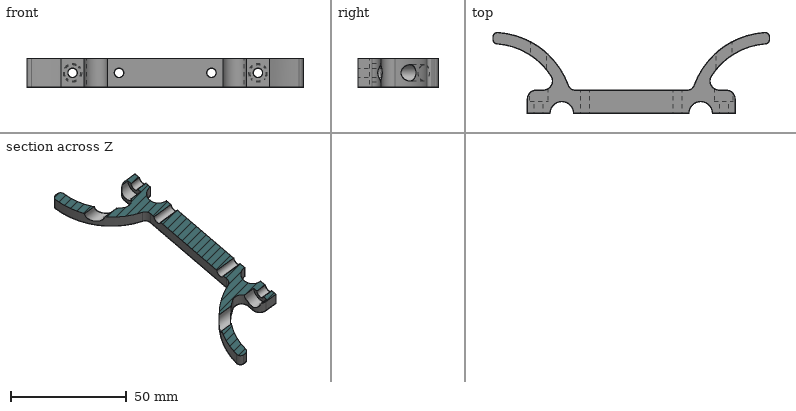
import cadquery as cq
import math

overall_length = 119.6
thickness = 12.5
half_length = overall_length / 2

bar_half_length = 45.0
bar_depth = 10.0
corner_radius = 4.0
notch_offset = 30.0
notch_radius = 5.0

arm_centre_offset = 60.0
arm_outer_radius = 35.0
arm_width = 5.0
arm_inner_radius = arm_outer_radius - arm_width
tip_radius = 2.0
inner_root_radius = 4.0
outer_root_radius = 3.0

hole_diameter = 4.0
inner_hole_offset = 20.0
outer_hole_offset = 40.1
access_diameter = 7.0
head_diameter = 8.0
head_floor = bar_depth / 2
head_top = bar_depth + inner_root_radius


def make_bar():
    """Bar with its two outer +Y corners rounded."""
    bar = cq.Workplane("XY").box(
        2 * bar_half_length, bar_depth, thickness, centered=(True, False, False)
    )
    return bar.edges("|Z and >Y").fillet(corner_radius)


def make_arm():
    """Left arm: ring segment cut off at the tip plane, with a rounded tip."""
    ring = (
        cq.Workplane("XY")
        .center(-arm_centre_offset, 0)
        .circle(arm_outer_radius)
        .circle(arm_inner_radius)
        .extrude(thickness)
    )
    root_level = bar_depth / 2
    arm_region = (
        cq.Workplane("XY")
        .box(half_length, arm_outer_radius, thickness, centered=False)
        .translate((-half_length, root_level, 0))
    )
    return ring.intersect(arm_region).edges("|Z and <X").fillet(tip_radius)


def make_root_fillet(arm_radius, radius, side):
    """Fillet web between the bar and an arm face; side is +1 outside the arm, -1 inside."""
    centre_y = bar_depth + radius
    centre_distance = arm_radius + side * radius
    centre_x = math.sqrt(centre_distance**2 - centre_y**2) - arm_centre_offset
    touch_ratio = arm_radius / centre_distance
    touch_x = (centre_x + arm_centre_offset) * touch_ratio - arm_centre_offset
    touch_y = centre_y * touch_ratio
    anchor_y = bar_depth / 2
    anchor_x = math.sqrt(arm_outer_radius**2 - anchor_y**2) - arm_centre_offset
    bisector_x = (touch_x - centre_x) / radius
    bisector_y = (touch_y - centre_y) / radius - 1
    bisector_length = math.hypot(bisector_x, bisector_y)
    middle = (
        centre_x + radius * bisector_x / bisector_length,
        centre_y + radius * bisector_y / bisector_length,
    )
    return (
        cq.Workplane("XY")
        .moveTo(anchor_x, anchor_y)
        .lineTo(centre_x, anchor_y)
        .lineTo(centre_x, bar_depth)
        .threePointArc(middle, (touch_x, touch_y))
        .close()
        .extrude(thickness)
    )


def make_y_bore(x, diameter, start_y, end_y):
    """Bore along Y at mid thickness, from start_y to end_y."""
    return (
        cq.Workplane("XZ", origin=(x, start_y, thickness / 2))
        .circle(diameter / 2)
        .extrude(start_y - end_y)
    )


left_arm = (
    make_arm()
    .union(make_root_fillet(arm_inner_radius, inner_root_radius, -1))
    .union(make_root_fillet(arm_outer_radius, outer_root_radius, 1))
)
result = make_bar().union(left_arm).union(left_arm.mirror("YZ"))

for side in (-1, 1):
    notch = cq.Workplane("XY").center(side * notch_offset, 0).circle(notch_radius).extrude(thickness)
    result = result.cut(notch)
    for offset in (inner_hole_offset, outer_hole_offset):
        result = result.cut(make_y_bore(side * offset, hole_diameter, 0, bar_depth))
    outer_x = side * outer_hole_offset
    result = result.cut(make_y_bore(outer_x, head_diameter, head_floor, head_top))
    result = result.cut(make_y_bore(outer_x, access_diameter, bar_depth, arm_outer_radius))